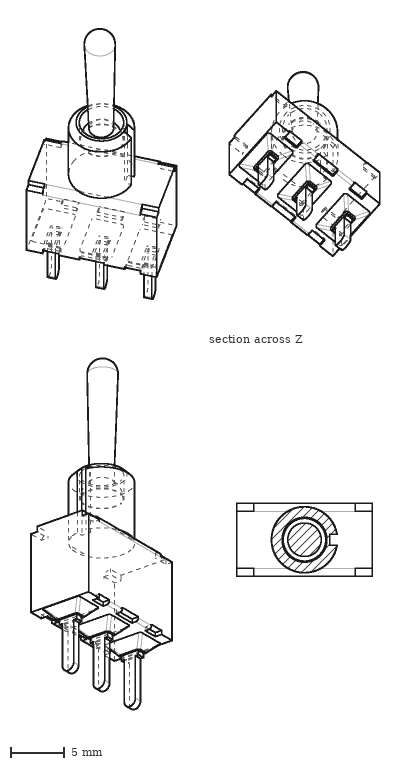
import cadquery as cq
import math


body_length = 12.7
body_width = 6.86
body_height = 8.82
corner_length = 1.6
corner_width = 0.74
corner_depth = 0.56
top_edge_radius = corner_width
window_height = 0.42
window_depth = corner_width
centre_window_length = 2.42
tab_length = 2.0
tab_edge_radius = 0.31

bushing_radius = 3.1
bushing_height = 7.1
bushing_chamfer = 0.72
bore_radius = 2.08
keyway_width = 1.0
keyway_floor = bushing_radius - bushing_chamfer
pivot_below_rim = 2.44

ball_radius = 2.0
lever_tilt = 0.75
tip_radius = 1.46
lever_rim_radius = 1.18
overall_height = 34.78

pin_pitch = 4.7
pin_thickness = 0.78
pin_width = 1.34
pin_reach = 6.67
shoulder_width = 2.05
shoulder_reach = 1.55
base_length = 3.14
base_width = 4.4
base_height = 1.05
base_draft = 43
base_corner_radius = 0.25

bushing_top = body_height + bushing_height
pivot_height = bushing_top - pivot_below_rim
lever_top = overall_height - pin_reach
half_width = body_width / 2
tab_start = centre_window_length / 2
tab_end = tab_start + tab_length
window_end = body_length / 2 - corner_length


def block(x_min, x_max, y_min, y_max, z_min, z_max):
    """Axis-aligned box between the given limits."""
    size = (x_max - x_min, y_max - y_min, z_max - z_min)
    return cq.Workplane("XY").box(*size, centered=False).translate((x_min, y_min, z_min))


def rounding_cutter(x_start, x_end, edge_z, inward, radius):
    """Waste outside a quarter round along the -Y edge at edge_z; inward is +1 or -1 in Z."""
    edge_y = -half_width
    chord_offset = radius * (1 - math.sqrt(0.5))
    return (
        cq.Workplane("YZ", origin=(x_start, 0, 0))
        .moveTo(edge_y, edge_z)
        .lineTo(edge_y + radius, edge_z)
        .threePointArc(
            (edge_y + chord_offset, edge_z + inward * chord_offset),
            (edge_y, edge_z + inward * radius),
        )
        .close()
        .extrude(x_end - x_start)
    )


def side_cutters():
    """All material removed along the -Y side of the housing."""
    outer_y = -half_width
    window_y = outer_y + window_depth
    cutters = [
        rounding_cutter(-window_end, window_end, body_height, -1, top_edge_radius),
        block(-tab_start, tab_start, outer_y, window_y, 0, window_height),
    ]
    for mirrored in (False, True):
        end_cutters = [
            block(window_end, body_length / 2, outer_y, outer_y + corner_width,
                  body_height - corner_depth, body_height),
            block(tab_end, window_end, outer_y, window_y, 0, window_height),
            rounding_cutter(tab_start, tab_end, 0, 1, tab_edge_radius),
        ]
        cutters += [c.mirror("YZ") if mirrored else c for c in end_cutters]
    return cutters


def make_housing():
    housing = block(-body_length / 2, body_length / 2, -half_width, half_width, 0, body_height)
    for cutter in side_cutters():
        housing = housing.cut(cutter).cut(cutter.mirror("XZ"))
    return housing


def make_bushing():
    """Chamfered sleeve with a keyway on +X; the bore ends level with the lever pivot."""
    bushing = (
        cq.Workplane("XY", origin=(0, 0, body_height))
        .circle(bushing_radius)
        .extrude(bushing_height)
        .faces(">Z")
        .chamfer(bushing_chamfer)
    )
    bore = cq.Workplane("XY", origin=(0, 0, pivot_height)).circle(bore_radius).extrude(pivot_below_rim)
    keyway = block(keyway_floor, bushing_radius, -keyway_width / 2, keyway_width / 2,
                   body_height, bushing_top)
    return bushing.cut(bore).cut(keyway)


def make_lever():
    """Tapered lever with a domed tip and a half ball at its pivot."""
    dome_height = lever_top - pivot_height - tip_radius
    taper = (tip_radius - lever_rim_radius) / (dome_height - pivot_below_rim)
    root_radius = lever_rim_radius - taper * pivot_below_rim
    diagonal = tip_radius * math.sqrt(0.5)
    shaft = (
        cq.Workplane("XZ")
        .lineTo(root_radius, 0)
        .lineTo(tip_radius, dome_height)
        .threePointArc((diagonal, dome_height + diagonal), (0, dome_height + tip_radius))
        .close()
        .revolve(360, (0, 0, 0), (0, 1, 0))
        .rotate((0, 0, 0), (0, 1, 0), -lever_tilt)
    )
    ball = cq.Workplane("XY").sphere(ball_radius, angle1=0)
    return shaft.union(ball).translate((0, 0, pivot_height))


def rounded_rectangle(length, width):
    return cq.Sketch().rect(length, width).vertices().fillet(base_corner_radius)


def make_terminal():
    """Flat pin with a shoulder and a round tip, on a tapered sealing base."""
    tip_centre = -pin_reach + pin_width / 2
    inset = 2 * base_height * math.tan(math.radians(base_draft))
    upper = rounded_rectangle(base_length, base_width)
    lower = rounded_rectangle(base_length - inset, base_width - inset)
    base = (
        cq.Workplane("XY")
        .placeSketch(upper, lower.moved(cq.Location(cq.Vector(0, 0, -base_height))))
        .loft()
    )
    pin = (
        cq.Workplane("YZ", origin=(-pin_thickness / 2, 0, 0))
        .moveTo(-shoulder_width / 2, 0)
        .lineTo(-shoulder_width / 2, -shoulder_reach)
        .lineTo(-pin_width / 2, -shoulder_reach)
        .lineTo(-pin_width / 2, tip_centre)
        .threePointArc((0, -pin_reach), (pin_width / 2, tip_centre))
        .lineTo(pin_width / 2, -shoulder_reach)
        .lineTo(shoulder_width / 2, -shoulder_reach)
        .lineTo(shoulder_width / 2, 0)
        .close()
        .extrude(pin_thickness)
    )
    return base.union(pin)


result = make_housing().union(make_bushing()).union(make_lever())
for position in (-1, 0, 1):
    result = result.union(make_terminal().translate((position * pin_pitch, 0, 0)))